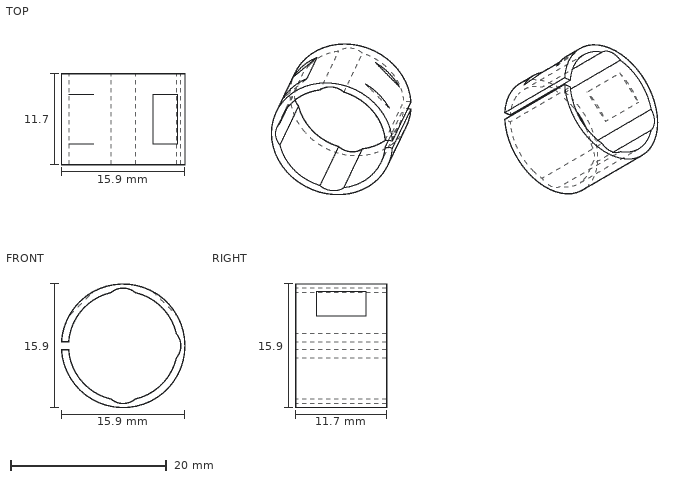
import cadquery as cq
import math

outer_radius = 7.94
inner_radius = 6.99
length = 11.69
slit_width = 1.0

groove_reach = 7.38
groove_half_width = 1.55
groove_angles = (0, 90, 270)

flat_width = 4.45
flat_length = 6.35
flat_angles = (45, 135)
flat_distance = math.sqrt(outer_radius**2 - (flat_width / 2) ** 2)


def cylinder_along_y(radius, x=0):
    return cq.Workplane("XZ").center(x, 0).circle(radius).extrude(length / 2, both=True)


def turned(body, angle):
    """Turn a body made on the +X side toward +Z about the Y axis."""
    return body.rotate((0, 0, 0), (0, 1, 0), -angle)


def groove_cutter():
    edge_distance = math.sqrt(inner_radius**2 - groove_half_width**2)
    rise = groove_reach - edge_distance
    radius = (groove_half_width**2 + rise**2) / (2 * rise)
    return cylinder_along_y(radius, groove_reach - radius)


def flat_cutter():
    cutter_depth = outer_radius - flat_distance
    return cq.Workplane("XY").box(
        cutter_depth, flat_length, flat_width, centered=(False, True, True)
    ).translate((flat_distance, 0, 0))


sleeve = cylinder_along_y(outer_radius).cut(cylinder_along_y(inner_radius))

for angle in groove_angles:
    sleeve = sleeve.cut(turned(groove_cutter(), angle))

for angle in flat_angles:
    sleeve = sleeve.cut(turned(flat_cutter(), angle))

slit = cq.Workplane("XY").box(
    outer_radius, length, slit_width, centered=(False, True, True)
).translate((-outer_radius, 0, 0))
result = sleeve.cut(slit)